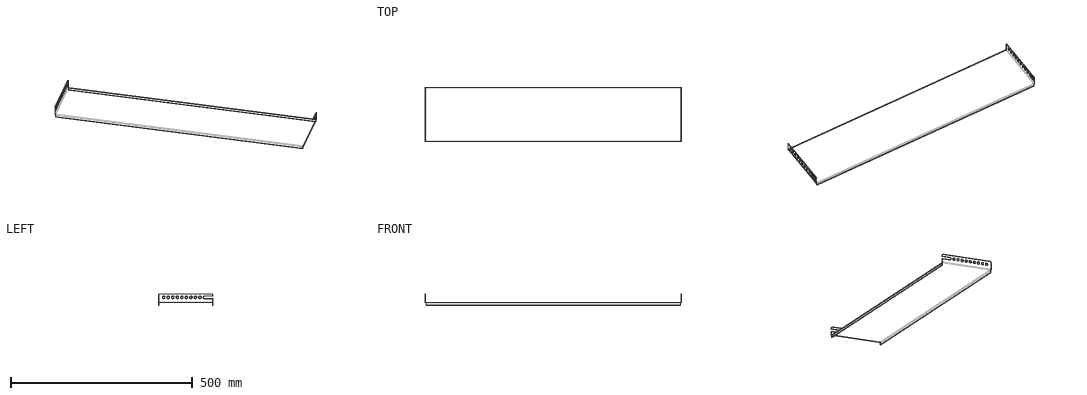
import cadquery as cq

length = 706.0
width = 150.0
height = 32.0

sheet = 1.0
bend_radius = 2.0
lip_drop = 7.0
lip_corner = 2.0
wall_corner = 4.0

hole_diameter = 6.5
hole_row_length = 112.0
hole_count = 9
first_hole_inset = 14.0
hole_depth_from_top = 10.0

wall_height = height - lip_drop
lip_height = lip_drop + sheet
floor_length = length - 2 * bend_radius
floor_width = width - 2 * bend_radius
first_hole_y = width / 2 - first_hole_inset
hole_z = wall_height - hole_depth_from_top
hole_pitch = hole_row_length / hole_count
slot_end_y = first_hole_y - hole_row_length


def make_flange(flange_height, flange_width, corner_radius):
    """Upright flange along Y with its bend at the foot, its tip corners rounded.

    The bend starts at X = 0, Z = 0 and curls towards +X and +Z.
    """
    inner_radius = bend_radius - sheet
    diagonal = 0.5 ** 0.5
    outer_middle = (bend_radius * diagonal, bend_radius * (1 - diagonal))
    inner_middle = (inner_radius * diagonal, bend_radius - inner_radius * diagonal)
    flange = (
        cq.Workplane("XZ")
        .threePointArc(outer_middle, (bend_radius, bend_radius))
        .lineTo(bend_radius, flange_height)
        .lineTo(inner_radius, flange_height)
        .lineTo(inner_radius, bend_radius)
        .threePointArc(inner_middle, (0, sheet))
        .close()
        .extrude(flange_width / 2, both=True)
    )
    return flange.edges("|X and >Z").fillet(corner_radius)


def make_tray():
    """Flat floor with walls bent up at its ends and lips bent down along its sides."""
    tray = cq.Workplane("XY").box(floor_length, floor_width, sheet, centered=(True, True, False))
    wall = make_flange(wall_height, width, wall_corner).translate((floor_length / 2, 0, 0))
    lip = (
        make_flange(lip_height, floor_length, lip_corner)
        .rotate((0, 0, 0), (1, 0, 0), 180)
        .rotate((0, 0, 0), (0, 0, 1), 90)
        .translate((0, floor_width / 2, sheet))
    )
    return tray.union(wall).union(wall.mirror("YZ")).union(lip).union(lip.mirror("XZ"))


def make_wall_openings():
    """Round holes and the open slot, cut through both end walls."""
    hole_places = [(first_hole_y - i * hole_pitch, hole_z) for i in range(hole_count + 1)]
    holes = (
        cq.Workplane("YZ")
        .pushPoints(hole_places)
        .circle(hole_diameter / 2)
        .extrude(length, both=True)
    )
    slot_length = slot_end_y + width / 2
    slot = (
        cq.Workplane("YZ")
        .center(slot_end_y - slot_length / 2, hole_z)
        .rect(slot_length, hole_diameter)
        .extrude(length, both=True)
    )
    return holes.union(slot)


result = make_tray().cut(make_wall_openings())